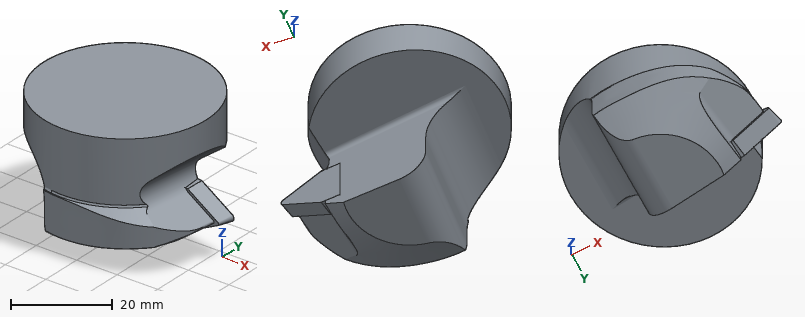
import cadquery as cq
import math


HEAD_RADIUS = 20.0
HEIGHT = 28.0
UNDERSIDE_DEPTH = 9.05
UNDERSIDE_ANGLE = 5.0
SHANK_LEFT_X = -4.85
SHANK_TOP_RADIUS = 10.0
SHANK_BOTTOM_RADIUS = 5.75
FAR = 60.0

FLANK_ANGLE = 27.5
TOOTH_DEPTH = 19.8
FLANGE_APEX_RADIUS = 29.03
FLANGE_FILLET = 0.5

WALL_FRONT_Y = -20.51
WALL_LARGE_RADIUS = 21.2
WALL_LARGE_CENTER_X = 5.46
WALL_SMALL_RADIUS = 13.3
WALL_BLEND_ANGLE = 45.0
WALL_START_ANGLE = 250.0

TIP_X = 26.87
RAKE_ANGLE = 7.5
RAKE_WALL_FILLET = 1.0
INSERT_THICKNESS = 3.8
INSERT_HALF_WIDTH = 5.15
INSERT_LENGTH = 13.0
INSERT_NOSE_RADIUS = 0.85
INSERT_RELIEF_ANGLE = 7.0

HOLDER_NOSE_SETBACK = 1.74
HOLDER_NOSE_RADIUS = 0.37
UPPER_GULLET_RADIUS = 4.0
UPPER_GULLET_SETBACK = 6.64
UPPER_GULLET_EXIT_ANGLE = 45.0
LOWER_GULLET_RADIUS = 4.4 / 2
LOWER_GULLET_SETBACK = 7.6

FLANK_SLOPE = math.tan(math.radians(FLANK_ANGLE))
FLANK_SIN = math.sin(math.radians(FLANK_ANGLE))
FLANK_COS = math.cos(math.radians(FLANK_ANGLE))
RAKE_SIN = math.sin(math.radians(RAKE_ANGLE))
RAKE_COS = math.cos(math.radians(RAKE_ANGLE))

RAKE_PLANE = cq.Plane(
    origin=(TIP_X, 0, -TOOTH_DEPTH),
    xDir=(RAKE_COS, -RAKE_SIN, 0),
    normal=(-RAKE_SIN, -RAKE_COS, 0),
)


def polar(center, radius, degrees):
    """Point at an angle on a circle."""
    angle = math.radians(degrees)
    return (center[0] + radius * math.cos(angle), center[1] + radius * math.sin(angle))


def underside_z(x):
    return -UNDERSIDE_DEPTH - x * math.tan(math.radians(UNDERSIDE_ANGLE))


def extrude_across(profile):
    """Extrude an XZ profile to both sides, right through the part."""
    return profile.close().extrude(FAR, both=True)


def turned_blank():
    """Head cylinder and double-cone flange, as one turned shape."""
    cone_radius_at_bottom = FLANGE_APEX_RADIUS - (HEIGHT - TOOTH_DEPTH) / FLANK_SLOPE
    fillet_center_x = HEAD_RADIUS + FLANGE_FILLET
    cone_z = -TOOTH_DEPTH + (FLANGE_APEX_RADIUS - fillet_center_x) * FLANK_SLOPE
    fillet_center = (fillet_center_x, cone_z + FLANGE_FILLET / FLANK_COS)
    fillet_end_angle = 270 - FLANK_ANGLE
    return (
        cq.Workplane("XZ")
        .lineTo(HEAD_RADIUS, 0)
        .lineTo(*polar(fillet_center, FLANGE_FILLET, 180))
        .threePointArc(
            polar(fillet_center, FLANGE_FILLET, (180 + fillet_end_angle) / 2),
            polar(fillet_center, FLANGE_FILLET, fillet_end_angle),
        )
        .lineTo(FLANGE_APEX_RADIUS, -TOOTH_DEPTH)
        .lineTo(cone_radius_at_bottom, -HEIGHT)
        .lineTo(0, -HEIGHT)
        .close()
        .revolve(360, (0, 0, 0), (0, 1, 0))
    )


def flange_wall():
    """Vertical prism that trims the flange; one smooth curve blends the large and small radius."""
    large_center = (WALL_LARGE_CENTER_X, WALL_FRONT_Y + WALL_LARGE_RADIUS)
    small_center = polar(large_center, WALL_LARGE_RADIUS - WALL_SMALL_RADIUS, -WALL_BLEND_ANGLE)
    side_start = polar(small_center, WALL_SMALL_RADIUS, -RAKE_ANGLE)
    back_y = HEAD_RADIUS + 1
    side_end = (side_start[0] + (back_y - side_start[1]) * RAKE_SIN / RAKE_COS, back_y)
    back_radius = -WALL_FRONT_Y
    back_start = polar((0, 0), back_radius, WALL_START_ANGLE)
    curve_points = [
        back_start,
        (WALL_LARGE_CENTER_X / 2, WALL_FRONT_Y),
        polar(large_center, WALL_LARGE_RADIUS, -(90 + WALL_BLEND_ANGLE) / 2),
        polar(large_center, WALL_LARGE_RADIUS, -WALL_BLEND_ANGLE),
        polar(small_center, WALL_SMALL_RADIUS, -(WALL_BLEND_ANGLE + RAKE_ANGLE) / 2),
        side_start,
    ]
    start_tangent = polar((0, 0), 1, WALL_START_ANGLE + 90)
    end_tangent = (RAKE_SIN, RAKE_COS)
    return (
        cq.Workplane("XY")
        .moveTo(*back_start)
        .spline(curve_points, tangents=[start_tangent, end_tangent])
        .lineTo(*side_end)
        .lineTo(-back_radius, back_y)
        .lineTo(-back_radius, 0)
        .threePointArc(polar((0, 0), back_radius, (180 + WALL_START_ANGLE) / 2), back_start)
        .close()
        .extrude(-HEIGHT)
    )


def space_left_of_shank():
    """Everything below the head underside and left of the shank."""
    slope = math.radians(UNDERSIDE_ANGLE)
    top_center_x = SHANK_LEFT_X - SHANK_TOP_RADIUS
    top_center = (top_center_x, underside_z(top_center_x) - SHANK_TOP_RADIUS / math.cos(slope))
    arc_start_angle = 90 - UNDERSIDE_ANGLE
    bottom_center = (SHANK_LEFT_X + SHANK_BOTTOM_RADIUS, -HEIGHT + SHANK_BOTTOM_RADIUS)
    return extrude_across(
        cq.Workplane("XZ")
        .moveTo(-FAR, underside_z(-FAR))
        .lineTo(*polar(top_center, SHANK_TOP_RADIUS, arc_start_angle))
        .threePointArc(
            polar(top_center, SHANK_TOP_RADIUS, arc_start_angle / 2),
            polar(top_center, SHANK_TOP_RADIUS, 0),
        )
        .lineTo(*polar(bottom_center, SHANK_BOTTOM_RADIUS, 180))
        .threePointArc(
            polar(bottom_center, SHANK_BOTTOM_RADIUS, 225),
            polar(bottom_center, SHANK_BOTTOM_RADIUS, 270),
        )
        .lineTo(bottom_center[0], -FAR)
        .lineTo(-FAR, -FAR)
    )


def space_before_rake_plane():
    """Everything below the head underside on the open side of the rake plane."""
    below_underside = extrude_across(
        cq.Workplane("XZ")
        .moveTo(-FAR, underside_z(-FAR))
        .lineTo(FAR, underside_z(FAR))
        .lineTo(FAR, -FAR)
        .lineTo(-FAR, -FAR)
    )
    open_side = cq.Workplane(RAKE_PLANE).rect(2 * FAR, 2 * FAR).extrude(-FAR)
    corner_line = (0, TIP_X * RAKE_SIN / RAKE_COS, underside_z(0))
    return (
        below_underside.intersect(open_side)
        .edges(cq.NearestToPointSelector(corner_line))
        .fillet(RAKE_WALL_FILLET)
    )


def tooth_clearance():
    """Prism square to the rake plane: both gullets, the holder flanks and the holder nose."""
    apex_x = HOLDER_NOSE_RADIUS * (1 / FLANK_SIN - 1) - HOLDER_NOSE_SETBACK

    def gullet_height(setback, radius):
        return (apex_x + setback) * FLANK_SLOPE + radius / FLANK_COS

    upper = (-UPPER_GULLET_SETBACK, gullet_height(UPPER_GULLET_SETBACK, UPPER_GULLET_RADIUS))
    lower = (-LOWER_GULLET_SETBACK, -gullet_height(LOWER_GULLET_SETBACK, LOWER_GULLET_RADIUS))
    nose = (-HOLDER_NOSE_SETBACK - HOLDER_NOSE_RADIUS, 0)
    nose_angle = 90 - FLANK_ANGLE
    exit_start = polar(upper, UPPER_GULLET_RADIUS, 90 + UPPER_GULLET_EXIT_ANGLE)
    exit_rise = (FAR - exit_start[0]) * math.tan(math.radians(UPPER_GULLET_EXIT_ANGLE))
    lower_end = polar(lower, LOWER_GULLET_RADIUS, 270)
    return (
        cq.Workplane(RAKE_PLANE)
        .moveTo(FAR, exit_start[1] + exit_rise)
        .lineTo(*exit_start)
        .threePointArc(
            polar(upper, UPPER_GULLET_RADIUS, 180),
            polar(upper, UPPER_GULLET_RADIUS, 270 - FLANK_ANGLE),
        )
        .lineTo(*polar(nose, HOLDER_NOSE_RADIUS, nose_angle))
        .threePointArc(
            polar(nose, HOLDER_NOSE_RADIUS, 0),
            polar(nose, HOLDER_NOSE_RADIUS, -nose_angle),
        )
        .lineTo(*polar(lower, LOWER_GULLET_RADIUS, 90 + FLANK_ANGLE))
        .threePointArc(polar(lower, LOWER_GULLET_RADIUS, 180), lower_end)
        .lineTo(FAR, lower_end[1])
        .close()
        .extrude(FAR, both=True)
    )


def make_insert():
    """Flat blade with a rounded V point; its sides taper away from the rake face."""
    nose = (-INSERT_NOSE_RADIUS, 0)
    nose_angle = 90 - FLANK_ANGLE
    apex_x = INSERT_NOSE_RADIUS * (1 / FLANK_SIN - 1)
    shoulder_x = apex_x - INSERT_HALF_WIDTH / FLANK_SLOPE
    return (
        cq.Workplane(RAKE_PLANE)
        .moveTo(-INSERT_LENGTH, INSERT_HALF_WIDTH)
        .lineTo(shoulder_x, INSERT_HALF_WIDTH)
        .lineTo(*polar(nose, INSERT_NOSE_RADIUS, nose_angle))
        .threePointArc((0, 0), polar(nose, INSERT_NOSE_RADIUS, -nose_angle))
        .lineTo(shoulder_x, -INSERT_HALF_WIDTH)
        .lineTo(-INSERT_LENGTH, -INSERT_HALF_WIDTH)
        .close()
        .extrude(INSERT_THICKNESS, taper=INSERT_RELIEF_ANGLE)
    )


def make_holder(insert):
    """Turned and trimmed holder with a seat that fits the insert."""
    holder = (
        turned_blank()
        .intersect(flange_wall())
        .cut(space_left_of_shank())
        .cut(space_before_rake_plane())
        .cut(tooth_clearance())
        .cut(insert)
    )
    return holder.solids()


insert = make_insert()
holder = make_holder(insert)

result = cq.Compound.makeCompound([holder.val(), insert.val()])